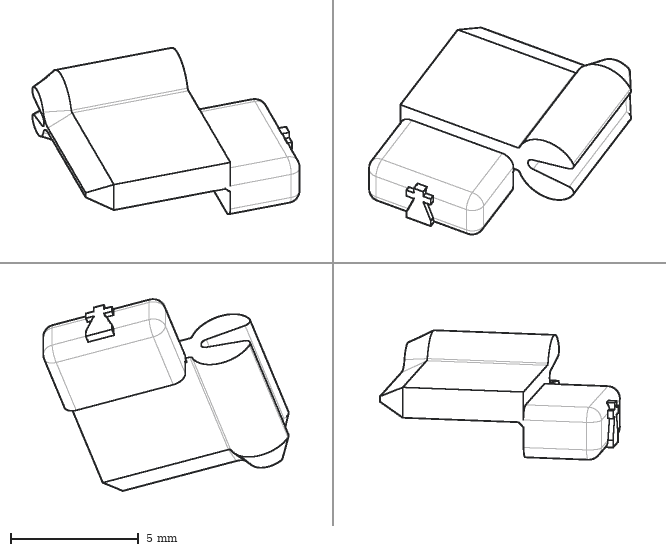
import cadquery as cq
import math


plate_right = 6.5
plate_half_thickness = 0.61
straight_length = 4.8
taper_length = 1.0
taper_inset = 0.5

jaw_radius = 1.31
jaw_centre_z = 0.21
neck_fillet = 0.1
tip_fillet = 0.25
slot_end_x = 0.6
slot_end_radius = 0.25
slot_angle = math.radians(8.4)
slot_wall_normal = math.pi / 2 - slot_angle

block_width = 5.0
block_length = 3.0
block_height = 2.1
block_fillet = 0.5
block_centre_x = plate_right - block_width / 2

bead_size = 0.2

mark_rise = 0.2
mark_root = 0.5
mark_width = 1.08
mark_stem_width = 0.42
mark_top = -0.18
mark_bar_top = -0.43
mark_bar_bottom = -0.74
mark_foot_top = -1.6
mark_bottom = -1.9


def polar(centre, radius, angle):
    """Point at a given angle on a circle in the XZ plane."""
    return (centre[0] + radius * math.cos(angle), centre[1] + radius * math.sin(angle))


def direction(start, end):
    """Angle of the line from start to end."""
    return math.atan2(end[1] - start[1], end[0] - start[0])


def neck_arc(inset):
    """Start, middle and end of the fillet from the plate top to the outside of the jaw circle."""
    jaw_centre = (0, jaw_centre_z)
    radius = neck_fillet + inset
    centre_z = plate_half_thickness - inset + radius
    centre_x = math.sqrt((jaw_radius + neck_fillet) ** 2 - (centre_z - jaw_centre_z) ** 2)
    centre = (centre_x, centre_z)
    plate_angle = -math.pi / 2
    jaw_angle = direction(centre, jaw_centre)
    angles = (plate_angle, (plate_angle + jaw_angle) / 2, jaw_angle)
    return [polar(centre, radius, angle) for angle in angles]


def tip_arc(inset):
    """Start, middle and end of the fillet from the inside of the jaw circle to the slot wall."""
    jaw_centre = (0, jaw_centre_z)
    line_start = polar((slot_end_x, 0), slot_end_radius + tip_fillet, slot_wall_normal)
    line_angle = slot_wall_normal + math.pi / 2
    start_x = line_start[0]
    start_z = line_start[1] - jaw_centre_z
    along = -(start_x * math.cos(line_angle) + start_z * math.sin(line_angle))
    gap = start_z * math.cos(line_angle) - start_x * math.sin(line_angle)
    half_chord = math.sqrt((jaw_radius - inset - tip_fillet) ** 2 - gap**2)
    centre = polar(line_start, along + half_chord, line_angle)

    jaw_angle = direction(jaw_centre, centre)
    wall_angle = slot_wall_normal + math.pi
    angles = (jaw_angle, (jaw_angle + wall_angle) / 2, wall_angle)
    return [polar(centre, tip_fillet, angle) for angle in angles]


def slot_end_arc():
    """Start, middle and end of the rounded slot end, from the slot wall to mid-height."""
    angles = (slot_wall_normal, slot_wall_normal / 2, 0)
    return [polar((slot_end_x, 0), slot_end_radius, angle) for angle in angles]


def upper_profile(y, inset):
    """Upper half of the clip and plate section at y, its outside moved in by inset."""
    right = plate_right - inset
    jaw_top = (0, jaw_centre_z + jaw_radius - inset)
    neck_start, neck_middle, neck_end = neck_arc(inset)
    tip_start, tip_middle, tip_end = tip_arc(inset)
    slot_start, slot_middle, slot_end = slot_end_arc()
    return (
        cq.Workplane("XZ", origin=(0, y, 0))
        .moveTo(right, 0)
        .lineTo(right, plate_half_thickness - inset)
        .lineTo(*neck_start)
        .threePointArc(neck_middle, neck_end)
        .threePointArc(jaw_top, tip_start)
        .threePointArc(tip_middle, tip_end)
        .lineTo(*slot_start)
        .threePointArc(slot_middle, slot_end)
        .close()
    )


def make_clip_and_plate():
    """Both jaws and the plate: a straight length, then a taper to the front end."""
    straight = upper_profile(0, 0).extrude(straight_length)
    wide_end = upper_profile(-straight_length, 0).val()
    narrow_end = upper_profile(-straight_length - taper_length, taper_inset).val()
    taper = cq.Workplane(cq.Solid.makeLoft([wide_end, narrow_end], True))
    upper = straight.union(taper)
    return upper.union(upper.mirror("XY")).clean()


def make_block():
    """Block with every edge rounded except those of its front face."""
    return (
        cq.Workplane("XY")
        .box(block_width, block_length, block_height, centered=(True, False, False))
        .translate((block_centre_x, 0, -block_height))
        .edges("not <Y")
        .fillet(block_fillet)
    )


def make_bead():
    """Triangular bead under the plate, along the front face of the block."""
    underside = -plate_half_thickness
    return (
        cq.Workplane("YZ", origin=(plate_right - block_width, 0, 0))
        .polyline([(0, underside), (-bead_size, underside), (0, underside - bead_size)])
        .close()
        .extrude(block_width)
    )


def make_mark():
    """Raised mark: a stem on a cross bar, with a foot flaring out to the same width."""
    half = mark_width / 2
    stem = mark_stem_width / 2
    right_side = [
        (stem, mark_top),
        (stem, mark_bar_top),
        (half, mark_bar_top),
        (half, mark_bar_bottom),
        (stem, mark_bar_bottom),
        (half, mark_foot_top),
        (half, mark_bottom),
    ]
    left_side = [(-x, z) for x, z in reversed(right_side)]
    return (
        cq.Workplane("XZ", origin=(block_centre_x, block_length + mark_rise, 0))
        .polyline(right_side + left_side)
        .close()
        .extrude(mark_rise + mark_root)
    )


result = make_clip_and_plate().union(make_block()).union(make_bead()).union(make_mark())